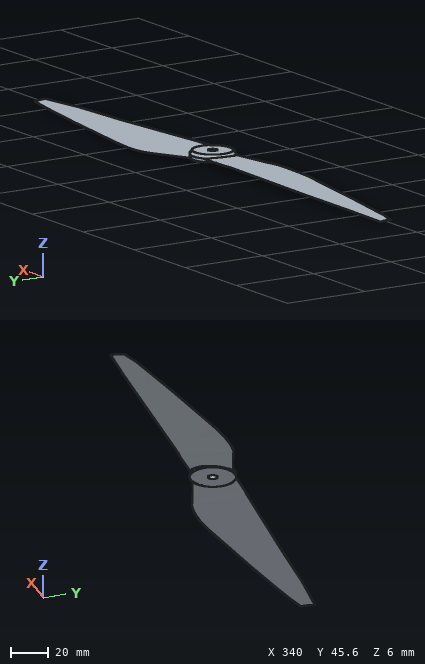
import cadquery as cq

tip_radius = 170.0
joint_radius = 25.5
hub_top_diameter = 22.5
hub_diameter = 25.0
hub_height = 4.0
hub_rim_height = 2.0
bore_diameter = 5.0
tip_trim_length = 1.5
trim_margin = 3.5

hub_section = (0.0, (-11.0, -2.0), (11.5, -3.5), 1.5)
joint_section = (joint_radius, (-10.2, -2.5), (19.7, -4.8), 1.7)
tip_lead = (-4.0, -5.8)
tip_trail = (3.5, -6.0)
blade_sections = [
    joint_section,
    (34.0, (-9.5, -2.5), (22.0, -5.0), 1.7),
    (44.2, (-9.2, -2.7), (22.8, -5.5), 1.7),
    (57.8, (-8.5, -3.0), (22.0, -5.5), 1.5),
    (74.8, (-7.8, -3.5), (19.7, -5.5), 1.5),
    (98.5, (-7.0, -4.0), (16.3, -5.5), 1.5),
    (122.5, (-6.5, -4.5), (12.5, -5.8), 1.0),
    (142.7, (-5.8, -4.8), (9.2, -5.8), 0.7),
    (159.7, (-4.8, -5.5), (6.0, -5.8), 0.5),
    (tip_radius, tip_lead, tip_trail, 0.5),
]


def section_wire(section):
    """Airfoil with an arched upper side and a straight lower side."""
    radius, lead, trail, thickness = section
    crown = ((lead[0] + trail[0]) / 2, (lead[1] + trail[1]) / 2 + thickness)
    outline = cq.Workplane("YZ", origin=(radius, 0, 0)).moveTo(*lead)
    return outline.threePointArc(crown, trail).close().val()


def loft(sections, ruled):
    wires = [section_wire(section) for section in sections]
    return cq.Workplane(cq.Solid.makeLoft(wires, ruled))


def tip_trim():
    """Wedge that slants the tip back towards the trailing edge."""
    return (
        cq.Workplane("XY")
        .moveTo(tip_radius, tip_lead[0])
        .lineTo(tip_radius - tip_trim_length, tip_trail[0])
        .lineTo(tip_radius - tip_trim_length, tip_trail[0] + trim_margin)
        .lineTo(tip_radius + trim_margin, tip_trail[0] + trim_margin)
        .lineTo(tip_radius + trim_margin, tip_lead[0])
        .close()
        .extrude(2 * hub_height, both=True)
    )


def blade():
    shank = loft([hub_section, joint_section], ruled=True)
    outer = loft(blade_sections, ruled=False).cut(tip_trim())
    return shank.union(outer)


def hub():
    top_radius = hub_top_diameter / 2
    rim_radius = hub_diameter / 2
    profile = [
        (0, 0),
        (top_radius, 0),
        (rim_radius, hub_rim_height - hub_height),
        (rim_radius, -hub_height),
        (0, -hub_height),
    ]
    return cq.Workplane("XZ").polyline(profile).close().revolve(360, (0, 0), (0, 1))


right_blade = blade()
left_blade = right_blade.rotate((0, 0, 0), (0, 0, 1), 180)
bore = cq.Workplane("XY").circle(bore_diameter / 2).extrude(2 * hub_height, both=True)

result = hub().union(right_blade).union(left_blade).cut(bore)